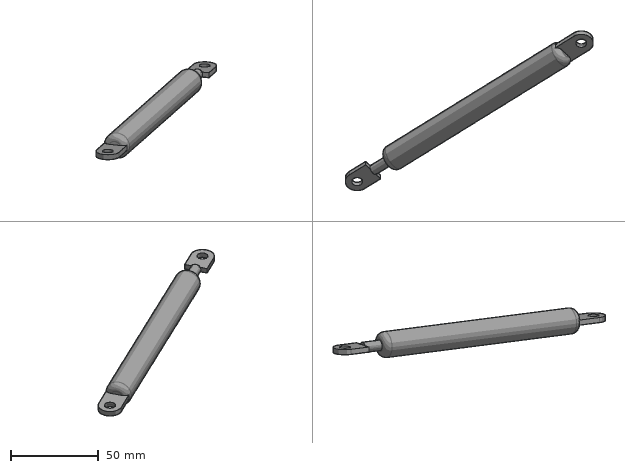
import cadquery as cq

total_length = 178.0
housing_diameter = 15.0
housing_length = 130.0
housing_end_fillet = 4.0
rod_diameter = 6.0

eye_length = 18.5
eye_width = 13.5
eye_thickness = 3.0
eye_hole_diameter = 6.0

front_tip_y = -total_length / 2
back_tip_y = total_length / 2
housing_front_y = front_tip_y + eye_length
housing_back_y = housing_front_y + housing_length
rod_back_y = back_tip_y - eye_length
rod_length = rod_back_y - housing_back_y


def cylinder_along_y(diameter, start_y, length):
    """Cylinder on the strut axis, running toward +Y from start_y."""
    return (
        cq.Workplane("XZ", origin=(0, start_y, 0))
        .circle(diameter / 2)
        .extrude(-length)
    )


def make_eye(tip_y, direction, root_overlap=0.0):
    """Flat eye with a round tip pointing along direction (+1 or -1 in Y).

    The root is lengthened by root_overlap so that it can run into a rounded end.
    """
    half_width = eye_width / 2
    hole_y = tip_y - direction * half_width
    root_y = tip_y - direction * (eye_length + root_overlap)
    plate = (
        cq.Workplane("XY")
        .moveTo(-half_width, root_y)
        .lineTo(-half_width, hole_y)
        .threePointArc((0, tip_y), (half_width, hole_y))
        .lineTo(half_width, root_y)
        .close()
        .extrude(eye_thickness / 2, both=True)
    )
    hole = (
        cq.Workplane("XY")
        .center(0, hole_y)
        .circle(eye_hole_diameter / 2)
        .extrude(eye_thickness, both=True)
    )
    return plate.cut(hole)


def make_housing():
    """Round-ended cylinder whose front eye runs into the end rounding."""
    tube = cylinder_along_y(housing_diameter, housing_front_y, housing_length)
    tube = tube.faces("<Y or >Y").edges().fillet(housing_end_fillet)
    return tube.union(make_eye(front_tip_y, -1, root_overlap=housing_end_fillet))


def make_rod():
    """Piston rod standing on the housing's back face and carrying the back eye."""
    shaft = cylinder_along_y(rod_diameter, housing_back_y, rod_length)
    return shaft.union(make_eye(back_tip_y, 1))


housing = make_housing()
rod = make_rod()

result = cq.Compound.makeCompound([housing.solids().val(), rod.solids().val()])